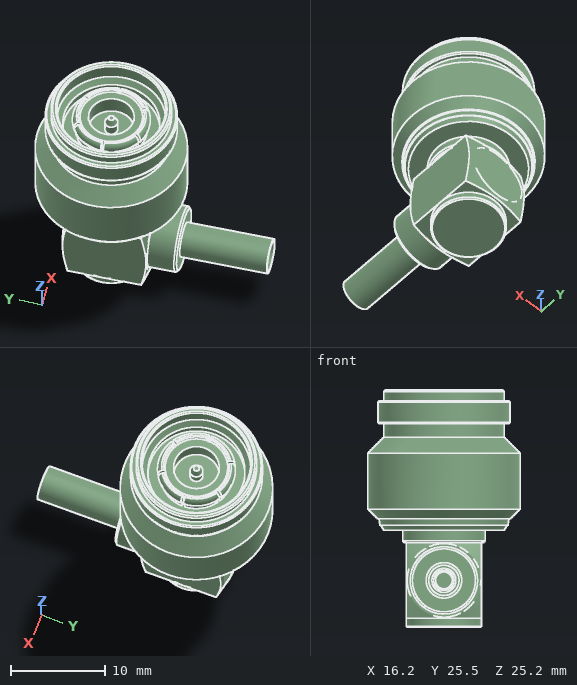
import cadquery as cq
import math


overall_length = 25.5
nut_diameter = 16.2

block_half = 4.0
block_back_y = 4.51
block_front_y = -4.8
front_cone_radius = 3.9
back_cone_radius = 3.52
cone_slope = math.tan(math.radians(18))

cap_height = 1.0
cap_chamfer = 0.15
neck_radius = 4.39
neck_chamfer = 0.18

nut_radius = nut_diameter / 2
nut_bottom_z = 5.3
nut_top_z = 20.2
nut_bottom_radius = 6.38
collar_step_z = 5.85
collar_step_inner_radius = 6.73
collar_step_outer_radius = 6.8
collar_top_radius = 6.9
body_bottom_z = 6.53
body_bottom_radius = 7.06
body_top_z = 13.5
rim_radius = 6.4
rim_chamfer = 0.18

band_radius = 7.0
band_bottom_z = 16.6
band_top_z = 19.05
band_chamfer = 0.15

cavity_floor_z = 16.65
cavity_radius = 5.15
mouth_radius = 5.76
mouth_chamfer = 0.15
seat_top_z = 18.3

ring_inner_radius = 3.32
ring_shank_radius = 3.82
ring_bulge_radius = 4.13
ring_lip_outer_radius = 3.7
ring_lip_inner_radius = 3.5
ring_top_z = 18.92
ring_bulge_z = 18.35
ring_shank_z = 17.65
slot_count = 6
slot_width = 0.3

insulator_top_z = 18.77
insulator_bore_radius = 2.42
pin_radius = 0.7
pin_tip_radius = 0.3
pin_shoulder_z = 17.85
pin_tip_z = 18.56

cable_collar_radius = 3.57
cable_collar_chamfer = 0.23
cable_collar_end_y = -7.93
tube_radius = 1.89
tube_bore_radius = 1.6
tube_end_y = nut_radius - overall_length
post_radius = 1.28
post_chamfer = 0.2
post_bore_radius = 0.9


def revolve_about_z(outline):
    return outline.close().revolve(360, (0, 0, 0), (0, 1, 0))


def cylinder_z(radius, bottom_z, top_z):
    return cq.Workplane("XY").workplane(offset=bottom_z).circle(radius).extrude(top_z - bottom_z)


def cylinder_y(radius, back_y, front_y):
    """Cylinder on the cable axis, running towards -Y."""
    plane = cq.Workplane("XZ", origin=(0, back_y, 0))
    return plane.circle(radius).extrude(back_y - front_y)


def make_block():
    """Square block whose front and back corners are trimmed by shallow cones."""
    side = 2 * block_half
    length = block_back_y - block_front_y
    block = cq.Workplane("XZ", origin=(0, block_back_y, 0)).rect(side, side).extrude(length)
    trim_radius = 2 * block_half
    front_depth = (trim_radius - front_cone_radius) * cone_slope
    back_depth = (trim_radius - back_cone_radius) * cone_slope
    trim = (
        cq.Workplane("XY")
        .moveTo(0, block_front_y)
        .lineTo(front_cone_radius, block_front_y)
        .lineTo(trim_radius, block_front_y + front_depth)
        .lineTo(trim_radius, block_back_y - back_depth)
        .lineTo(back_cone_radius, block_back_y)
        .lineTo(0, block_back_y)
    )
    return block.intersect(revolve_about_z(trim))


def make_cap():
    cap = cylinder_z(block_half, -block_half - cap_height, 0)
    return cap.faces("<Z").chamfer(cap_chamfer)


def make_neck():
    neck = cylinder_z(neck_radius, block_half, nut_bottom_z)
    return neck.faces("<Z").chamfer(neck_chamfer)


def make_nut():
    """Solid outer shape of the coupling nut."""
    shoulder_top_z = body_top_z + nut_radius - rim_radius
    body_edge_z = body_bottom_z + nut_radius - body_bottom_radius
    profile = (
        cq.Workplane("XZ")
        .moveTo(0, nut_bottom_z)
        .lineTo(nut_bottom_radius, nut_bottom_z)
        .lineTo(collar_step_inner_radius, collar_step_z)
        .lineTo(collar_step_outer_radius, collar_step_z)
        .lineTo(collar_top_radius, body_bottom_z)
        .lineTo(body_bottom_radius, body_bottom_z)
        .lineTo(nut_radius, body_edge_z)
        .lineTo(nut_radius, body_top_z)
        .lineTo(rim_radius, shoulder_top_z)
        .lineTo(rim_radius, nut_top_z - rim_chamfer)
        .lineTo(rim_radius - rim_chamfer, nut_top_z)
        .lineTo(0, nut_top_z)
    )
    band = cylinder_z(band_radius, band_bottom_z, band_top_z).faces("<Z or >Z").chamfer(band_chamfer)
    return revolve_about_z(profile).union(band)


def make_cavity():
    """Space inside the nut: chamfered mouth, conical seat and flat floor."""
    seat_bottom_z = seat_top_z - (mouth_radius - cavity_radius)
    profile = (
        cq.Workplane("XZ")
        .moveTo(0, cavity_floor_z)
        .lineTo(cavity_radius, cavity_floor_z)
        .lineTo(cavity_radius, seat_bottom_z)
        .lineTo(mouth_radius, seat_top_z)
        .lineTo(mouth_radius, nut_top_z - mouth_chamfer)
        .lineTo(mouth_radius + mouth_chamfer, nut_top_z)
        .lineTo(0, nut_top_z)
    )
    return revolve_about_z(profile)


def make_contact_ring():
    """Ring of spring fingers with a bulged outer side, split by radial slots."""
    profile = (
        cq.Workplane("XZ")
        .moveTo(ring_inner_radius, cavity_floor_z)
        .lineTo(ring_shank_radius, cavity_floor_z)
        .lineTo(ring_shank_radius, ring_shank_z)
        .threePointArc((ring_bulge_radius, ring_bulge_z), (ring_lip_outer_radius, ring_top_z))
        .lineTo(ring_lip_inner_radius, ring_top_z)
        .lineTo(ring_inner_radius, insulator_top_z)
    )
    ring = revolve_about_z(profile)
    height = ring_top_z - cavity_floor_z
    slot = (
        cq.Workplane("XY", origin=(0, 0, cavity_floor_z))
        .rect(2 * nut_radius, slot_width)
        .extrude(height)
    )
    for index in range(slot_count // 2):
        ring = ring.cut(slot.rotate((0, 0, 0), (0, 0, 1), index * 360 / slot_count))
    return ring


def make_insulator():
    insulator = cylinder_z(ring_inner_radius, cavity_floor_z, insulator_top_z)
    return insulator.cut(cylinder_z(insulator_bore_radius, cavity_floor_z, insulator_top_z))


def make_pin():
    profile = (
        cq.Workplane("XZ")
        .moveTo(0, cavity_floor_z)
        .lineTo(pin_radius, cavity_floor_z)
        .lineTo(pin_radius, pin_shoulder_z)
        .lineTo(pin_tip_radius, pin_tip_z)
        .lineTo(0, pin_tip_z)
    )
    return revolve_about_z(profile)


def make_cable_exit():
    """Chamfered collar carrying a thin tube with a hollow post at the bottom of its bore."""
    collar = cylinder_y(cable_collar_radius, 0, cable_collar_end_y)
    collar = collar.faces("<Y").chamfer(cable_collar_chamfer)
    return collar.union(cylinder_y(tube_radius, 0, tube_end_y))


def make_post():
    post = cylinder_y(post_radius, block_front_y, cable_collar_end_y)
    post = post.faces("<Y").chamfer(post_chamfer)
    return post.cut(cylinder_y(post_bore_radius, block_front_y, cable_collar_end_y))


shell = make_nut().cut(make_cavity())
elbow = make_block().union(make_cap()).union(make_neck()).union(make_cable_exit())
elbow = elbow.cut(cylinder_y(tube_bore_radius, block_front_y, tube_end_y)).union(make_post())
contacts = make_contact_ring().union(make_insulator()).union(make_pin())

result = shell.union(elbow).union(contacts)